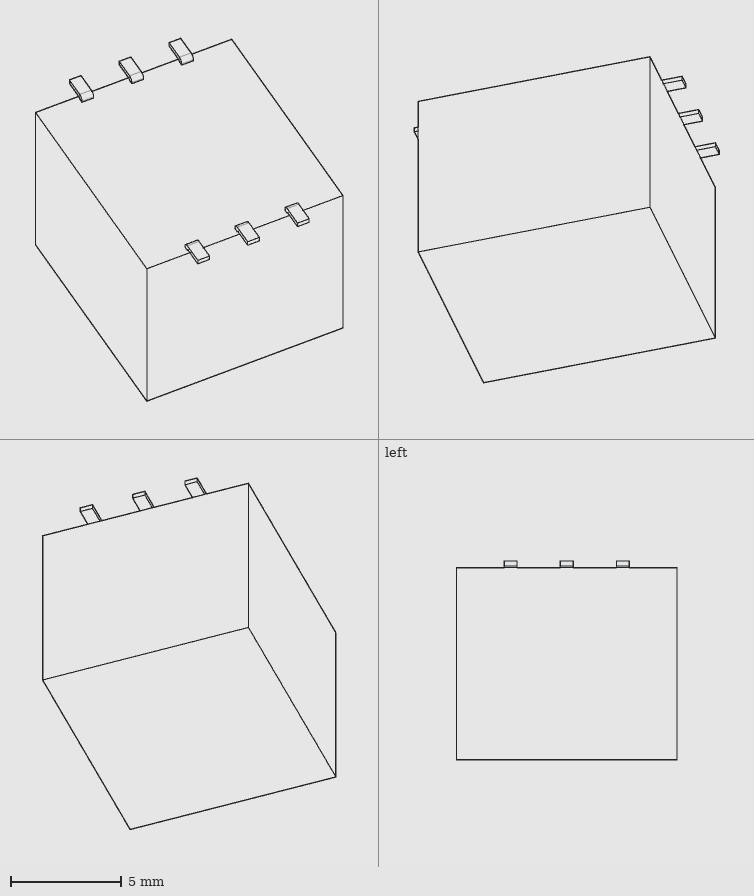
import cadquery as cq

overall_length = 12.7
overall_height = 9.0
body_length = 11.0
body_width = 10.0

lead_count = 3
lead_pitch = 2.54
lead_width = 0.6
lead_length = 1.26
lead_thickness = 0.23
lead_gap = 0.08
root_depth = 0.13

outer_bend_radius = lead_thickness
inner_bend_radius = lead_gap
body_height = overall_height - lead_thickness - lead_gap


def make_body():
    """Plain block standing on Z = 0."""
    return cq.Workplane("XY").box(body_length, body_width, body_height, centered=(True, True, False))


def make_right_lead(y_center):
    """Bent strip on the +X side, with its tip pointing outward."""
    tip_x = overall_length / 2
    root_x = tip_x - lead_length
    root_z = body_height - root_depth
    underside_z = overall_height - lead_thickness
    inner_bend_x = root_x + lead_thickness + inner_bend_radius
    lead = (
        cq.Workplane("XZ", origin=(0, y_center, 0))
        .moveTo(tip_x, overall_height)
        .lineTo(root_x + outer_bend_radius, overall_height)
        .radiusArc((root_x, overall_height - outer_bend_radius), -outer_bend_radius)
        .lineTo(root_x, root_z)
        .lineTo(root_x + lead_thickness, root_z)
        .lineTo(root_x + lead_thickness, body_height)
        .radiusArc((inner_bend_x, underside_z), inner_bend_radius)
        .lineTo(tip_x, underside_z)
        .close()
        .extrude(lead_width / 2, both=True)
    )
    return lead


result = make_body()
for index in range(lead_count):
    y_center = (index - (lead_count - 1) / 2) * lead_pitch
    right_lead = make_right_lead(y_center)
    left_lead = right_lead.mirror("YZ")
    result = result.union(right_lead).union(left_lead)